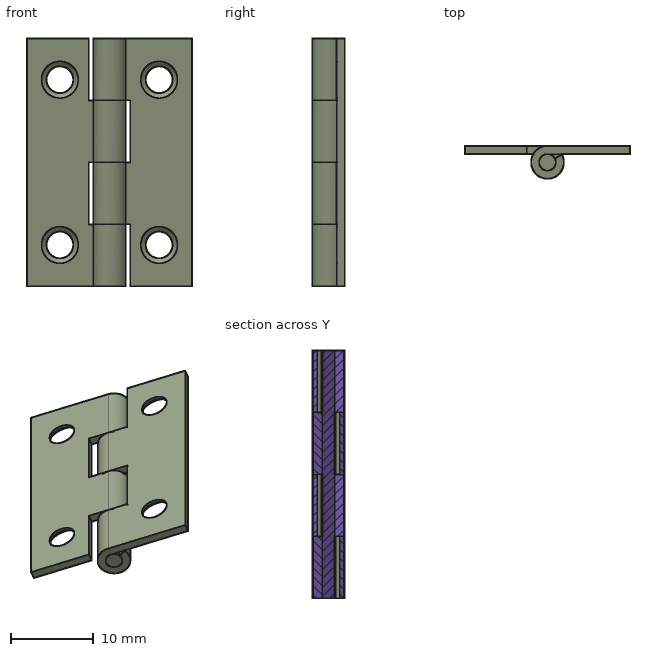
import cadquery as cq
import math

hinge_height = 30.0
hinge_width = 20.0
knuckle_diameter = 4.0
pin_diameter = 2.0
knuckle_count = 4
notch_edge_x = 2.5
curl_end_angle = 28.0

hole_diameter = 3.2
countersink_diameter = 4.45
countersink_angle = 90.0
hole_x = 6.0
hole_z = 10.0

knuckle_radius = knuckle_diameter / 2
pin_radius = pin_diameter / 2
knuckle_height = hinge_height / knuckle_count
leaf_edge_x = hinge_width / 2


def polar_point(radius, angle):
    """Point in the XY plane at an angle in degrees around the pin axis."""
    radians = math.radians(angle)
    return (radius * math.cos(radians), radius * math.sin(radians))


def make_plate():
    """Flat part of a leaf at full height, outside the notches."""
    return (
        cq.Workplane("XY")
        .workplane(offset=-hinge_height / 2)
        .moveTo(notch_edge_x, pin_radius)
        .lineTo(leaf_edge_x, pin_radius)
        .lineTo(leaf_edge_x, knuckle_radius)
        .lineTo(notch_edge_x, knuckle_radius)
        .close()
        .extrude(hinge_height)
    )


def make_knuckle(bottom_z):
    """Strip that runs from the plate and curls around the pin to its free end."""
    middle_angle = (90 + 360 + curl_end_angle) / 2
    return (
        cq.Workplane("XY")
        .workplane(offset=bottom_z)
        .moveTo(notch_edge_x, knuckle_radius)
        .lineTo(0, knuckle_radius)
        .threePointArc(
            polar_point(knuckle_radius, middle_angle),
            polar_point(knuckle_radius, curl_end_angle),
        )
        .lineTo(*polar_point(pin_radius, curl_end_angle))
        .threePointArc(polar_point(pin_radius, middle_angle), (0, pin_radius))
        .lineTo(notch_edge_x, pin_radius)
        .close()
        .extrude(knuckle_height)
    )


def cut_screw_holes(leaf):
    """Cut the two countersunk holes, with the countersinks on the knuckle side."""
    return (
        leaf.copyWorkplane(cq.Workplane("XZ", origin=(0, pin_radius, 0)))
        .pushPoints([(hole_x, -hole_z), (hole_x, hole_z)])
        .cskHole(hole_diameter, countersink_diameter, countersink_angle)
    )


def make_leaf(first_knuckle):
    """Leaf on the +X side that carries every second knuckle, counted from the bottom."""
    leaf = make_plate()
    for index in range(first_knuckle, knuckle_count, 2):
        bottom_z = -hinge_height / 2 + index * knuckle_height
        leaf = leaf.union(make_knuckle(bottom_z))
    return cut_screw_holes(leaf.clean())


def make_pin():
    """Plain pin, flush with both ends of the hinge."""
    return cq.Workplane("XY").circle(pin_radius).extrude(hinge_height / 2, both=True)


right_leaf = make_leaf(first_knuckle=1)
left_leaf = make_leaf(first_knuckle=0).mirror("YZ")
pin = make_pin()

bodies = [right_leaf, left_leaf, pin]
result = cq.Compound.makeCompound([body.solids().val() for body in bodies])